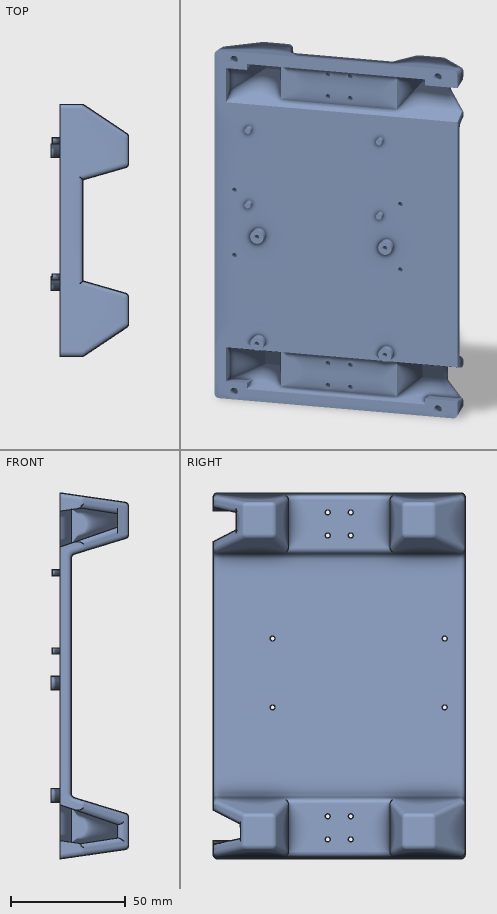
import cadquery as cq

height = 159.7
width = 110.0
depth = 30.0
plate_thickness = 5.0
bar_depth = 10.0
edge_radius = 2.0
tolerance = 0.02

half_height = height / 2
half_width = width / 2

leg_tip_top = 75.5
leg_tip_bottom = 60.4
leg_root_bottom = 52.7

leg_tip_outer = 41.7
leg_tip_inner = 27.8
leg_root_inner = 22.0

pocket_floor = 25.0
pocket_top = 74.5
pocket_bottom = 56.2
floor_top = 70.7
floor_bottom = 64.8
end_wall = 5.3
slant_start = 8.3
floor_outer = 38.8
floor_inner = 32.1
ridge_half_width = 26.2

pad_length = 14.7
pad_depth = 9.1
pad_bottom = 71.8
pad_top = 73.1

small_hole_diameter = 2.0
pin_diameter = 2.7
pin_height = 3.4
pin_center = (9.4, 28.0)
pin_pitch = (59.4, 34.2)

boss_diameter = 6.0
boss_height = 4.0
boss_center = (5.7, -27.6)
boss_pitch = (58.0, 49.0)

plate_hole_center = (8.5, 1.3)
plate_hole_pitch = (75.0, 30.0)

bar_hole_z = 66.3
bar_hole_pitch = (10.0, 10.0)

corner_hole_diameter = 3.4
corner_hole_depth = 8.0
corner_hole_pitch = (92.3, 152.3)


def prism_along_y(points, y_start, y_end):
    """Extrude an (x, z) outline between two Y positions."""
    outline = cq.Workplane("XZ", origin=(0, y_start, 0)).polyline(points).close()
    return outline.extrude(y_start - y_end)


def prism_along_z(points):
    """Extrude an (x, y) outline over the full height."""
    outline = cq.Workplane("XY", origin=(0, 0, -half_height)).polyline(points).close()
    return outline.extrude(height)


def cylinders(centers, diameter, x_start, x_end):
    """Cylinders along X at the given (y, z) centres."""
    plane = cq.Workplane("YZ", origin=(x_start, 0, 0))
    return plane.pushPoints(centers).circle(diameter / 2).extrude(x_end - x_start)


def grid(center, pitch):
    """Four (y, z) points at the corners of a rectangle."""
    return [
        (center[0] + i * pitch[0] / 2, center[1] + j * pitch[1] / 2)
        for i in (-1, 1)
        for j in (-1, 1)
    ]


def is_plate_to_leg_corner(edge):
    """True for the long inside corners between the plate and the legs."""
    center = edge.Center()
    at_plate = abs(center.x - plate_thickness) < tolerance
    at_leg = abs(abs(center.z) - leg_root_bottom) < tolerance
    return at_plate and at_leg


def is_outer_rim(edge):
    """True for the edges to round: neither on the mounting face nor in an inside corner."""
    center = edge.Center()
    box = edge.BoundingBox()
    on_mounting_face = box.xmax < tolerance
    leg_to_bar_corner = box.xlen < tolerance and abs(abs(center.y) - leg_root_inner) < tolerance
    plate_corner_seam = box.ylen > width - tolerance and tolerance < center.x
    return not (on_mounting_face or leg_to_bar_corner or plate_corner_seam)


def make_body():
    upper_side = [
        (0, half_height),
        (depth, leg_tip_top),
        (depth, leg_tip_bottom),
        (plate_thickness, leg_root_bottom),
    ]
    side_outline = upper_side + [(x, -z) for x, z in reversed(upper_side)]
    left_end = [
        (0, half_width),
        (bar_depth, half_width),
        (depth, leg_tip_outer),
        (depth, leg_tip_inner),
        (bar_depth, leg_root_inner),
    ]
    end_outline = left_end + [(x, -y) for x, y in reversed(left_end)]
    sharp = prism_along_y(side_outline, -half_width, half_width).intersect(prism_along_z(end_outline))
    sharp = sharp.edges().filter(is_plate_to_leg_corner).fillet(edge_radius)
    return sharp.edges().filter(is_outer_rim).fillet(edge_radius)


def make_pocket():
    """Pocket of the upper pair of legs; it runs out through the -Y end."""
    beyond_end = -width
    across_outline = [
        (0, pocket_top),
        (pocket_floor, floor_top),
        (pocket_floor, floor_bottom),
        (0, pocket_bottom),
    ]
    along_outline = [
        (0, half_width - end_wall),
        (slant_start, half_width - end_wall),
        (pocket_floor, floor_outer),
        (pocket_floor, floor_inner),
        (plate_thickness, ridge_half_width),
        (plate_thickness, -ridge_half_width),
        (pocket_floor, -floor_inner),
        (pocket_floor, beyond_end),
        (0, beyond_end),
    ]
    across = prism_along_y(across_outline, beyond_end, half_width)
    return across.intersect(prism_along_z(along_outline))


def slanted_face_y(x):
    """Y of the slanted -Y leg face, also where it is extended towards the mounting face."""
    slope = (half_width - leg_tip_outer) / (depth - bar_depth)
    return -half_width + slope * (x - bar_depth)


def is_pocket_rim(edge):
    """True for the pocket edges in the slanted face: all long sides, and the lower floor edge."""
    ends = (edge.startPoint(), edge.endPoint())
    in_slanted_face = all(abs(p.y - slanted_face_y(p.x)) < tolerance for p in ends)
    reaches_floor = abs(max(p.x for p in ends) - pocket_floor) < tolerance
    is_upper_floor_edge = min(p.x for p in ends) > pocket_floor - tolerance and ends[0].z > 0
    return in_slanted_face and reaches_floor and not is_upper_floor_edge


def make_hollow_block():
    """Block ending in the extended slanted face, hollowed by both pockets with rounded rims."""
    block = prism_along_z(
        [
            (0, slanted_face_y(0)),
            (depth, slanted_face_y(depth)),
            (depth, half_width),
            (0, half_width),
        ]
    )
    pocket = make_pocket()
    block = block.cut(pocket).cut(pocket.mirror("XY"))
    return block.edges().filter(is_pocket_rim).fillet(edge_radius)


def make_pads():
    """Wedges that thicken the outer pocket wall at the four corners."""
    outline = [(0, pad_bottom), (pad_depth, pad_top), (pad_depth, half_height), (0, half_height)]
    pad = prism_along_y(outline, half_width - pad_length, half_width)
    upper_pads = pad.union(pad.mirror("XZ"))
    return upper_pads.union(upper_pads.mirror("XY"))


body = make_body()
result = body.intersect(make_hollow_block()).union(make_pads().intersect(body))

boss_points = grid(boss_center, boss_pitch)
result = result.union(cylinders(grid(pin_center, pin_pitch), pin_diameter, -pin_height, tolerance))
result = result.union(cylinders(boss_points, boss_diameter, -boss_height, tolerance))

result = result.cut(cylinders(boss_points, small_hole_diameter, -boss_height, 0))

plate_holes = grid(plate_hole_center, plate_hole_pitch)
result = result.cut(cylinders(plate_holes, small_hole_diameter, 0, plate_thickness))

for bar_z in (bar_hole_z, -bar_hole_z):
    bar_holes = grid((0, bar_z), bar_hole_pitch)
    result = result.cut(cylinders(bar_holes, small_hole_diameter, 0, bar_depth))

corner_holes = grid((0, 0), corner_hole_pitch)
result = result.cut(cylinders(corner_holes, corner_hole_diameter, 0, corner_hole_depth))